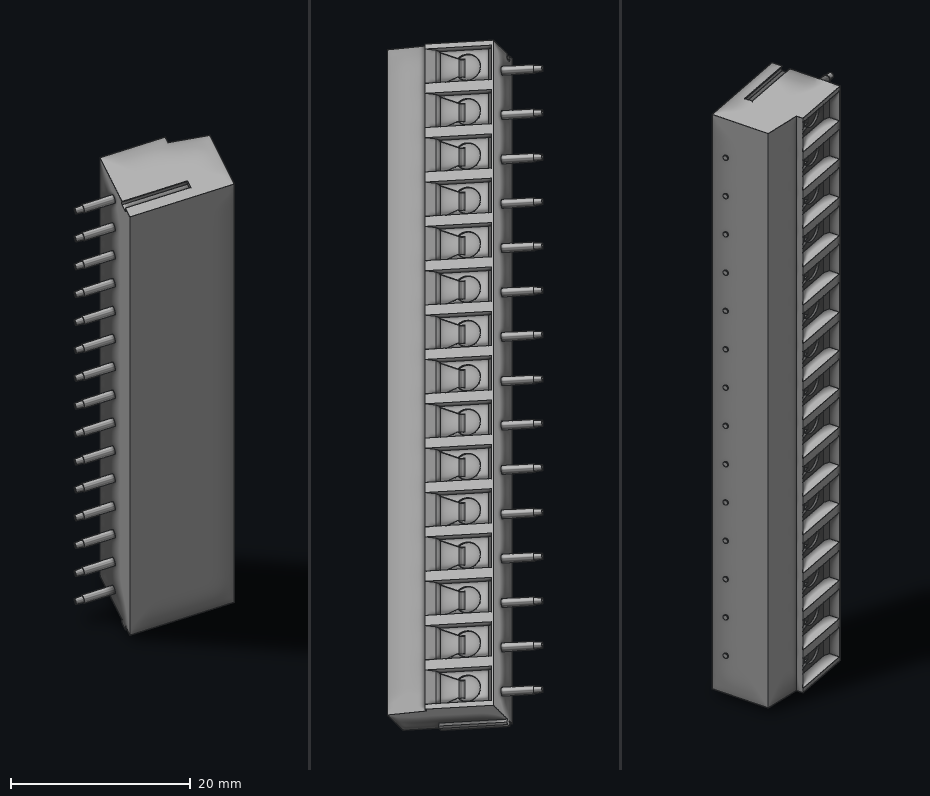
import cadquery as cq


total_height = 76.9
body_width = 9.0
body_depth = 12.5
way_count = 15
body_bottom = 0.6
body_height = total_height - body_bottom
pitch = body_height / way_count

ledge_depth = 7.85
lean_start = 0.85
lean_end = 1.6

cell_height = 3.9
cell_floor = 1.6
rear_funnel_depth = 0.85
rear_funnel_y = 6.8
floor_rear_y = 6.5
front_slope_depth = 1.3
floor_front_y = 0.9
front_wall = 0.2

recess_depth = 0.3
hole_radius = 1.5
hole_y = 3.4
mouth_height = 3.8
neck_height = 2.1
neck_y = 4.4

groove_radius = 0.345
groove_length = 2.1
groove_y = 4.1

pin_x = 4.15
pin_diameter = 1.0
tip_start_diameter = 0.85
tip_end_diameter = 0.7
pin_length = 4.6
tip_length = 0.9

rail_x = 7.15
rail_neck_width = 1.0
rail_wide_width = 1.4
rail_end_width = 1.0
rail_wide_drop = 0.4
rail_drop = body_bottom

stud_diameter = 0.6
stud_height = 0.15


def way_center(way):
    return body_bottom + (way + 0.5) * pitch


def make_body():
    profile = [
        (0, 0),
        (body_width, 0),
        (body_width, body_depth),
        (lean_end, body_depth),
        (lean_start, ledge_depth),
        (0, ledge_depth),
    ]
    return cq.Workplane("XY").workplane(offset=body_bottom).polyline(profile).close().extrude(body_height)


def make_rail(neck_z):
    """Rail along Y whose neck lies at neck_z; it is widest part of the way down."""
    wide_z = neck_z - rail_wide_drop
    end_z = neck_z - rail_drop
    profile = [
        (rail_x - rail_neck_width / 2, neck_z),
        (rail_x - rail_wide_width / 2, wide_z),
        (rail_x - rail_end_width / 2, end_z),
        (rail_x + rail_end_width / 2, end_z),
        (rail_x + rail_wide_width / 2, wide_z),
        (rail_x + rail_neck_width / 2, neck_z),
    ]
    return cq.Workplane("XZ").polyline(profile).close().extrude(-ledge_depth)


def make_cell(center_z):
    """Space of one wire cell: funnel, keyhole recess and groove."""
    funnel_profile = [
        (0, front_wall),
        (front_slope_depth, front_wall),
        (cell_floor, floor_front_y),
        (cell_floor, floor_rear_y),
        (rear_funnel_depth, rear_funnel_y),
        (0, ledge_depth),
    ]
    funnel = (
        cq.Workplane("XY").workplane(offset=center_z - cell_height / 2)
        .polyline(funnel_profile).close().extrude(cell_height)
    )
    floor_plane = cq.Workplane("YZ", origin=(cell_floor, 0, center_z))
    hole = floor_plane.center(hole_y, 0).circle(hole_radius).extrude(recess_depth)
    mouth_profile = [
        (floor_rear_y, mouth_height / 2),
        (neck_y, neck_height / 2),
        (hole_y, neck_height / 2),
        (hole_y, -neck_height / 2),
        (neck_y, -neck_height / 2),
        (floor_rear_y, -mouth_height / 2),
    ]
    mouth = floor_plane.polyline(mouth_profile).close().extrude(recess_depth)
    groove = (
        cq.Workplane("XY", origin=(cell_floor + recess_depth, groove_y, center_z - groove_length / 2))
        .circle(groove_radius).extrude(groove_length)
    )
    return funnel.union(hole).union(mouth).union(groove)


def make_pin(center_z):
    shank_length = pin_length - tip_length
    shank = cq.Workplane("XZ", origin=(pin_x, 0, center_z)).circle(pin_diameter / 2).extrude(shank_length)
    tip = (
        cq.Workplane("XZ", origin=(pin_x, -shank_length, center_z)).circle(tip_start_diameter / 2)
        .workplane(offset=tip_length).circle(tip_end_diameter / 2).loft()
    )
    return shank.union(tip)


def make_stud(center_z):
    return cq.Workplane("XZ", origin=(rail_x, body_depth, center_z)).circle(stud_diameter / 2).extrude(-stud_height)


result = make_body().cut(make_rail(total_height)).union(make_rail(body_bottom))
for way in range(way_count):
    result = result.cut(make_cell(way_center(way)))
    result = result.union(make_pin(way_center(way)))
for boundary in range(1, way_count):
    result = result.union(make_stud(body_bottom + boundary * pitch))